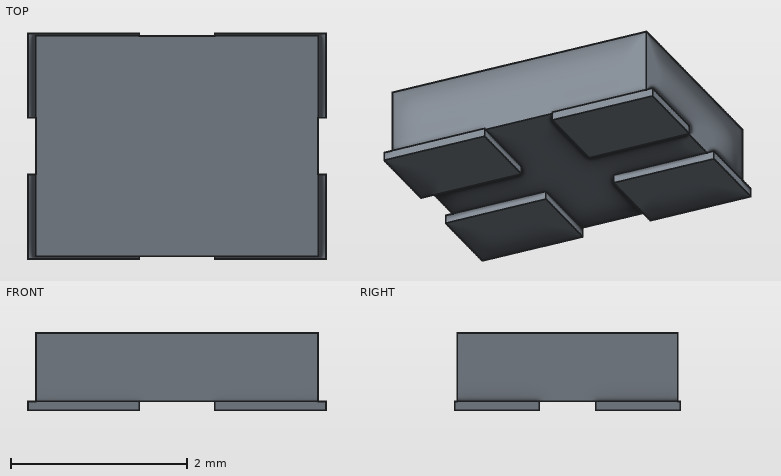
import cadquery as cq

overall_length = 3.38
overall_width = 2.56
overall_height = 0.88

housing_length = 3.2
housing_width = 2.5

pad_length = 1.265
pad_width = 0.96
pad_thickness = 0.1

housing_height = overall_height - pad_thickness
pad_center_x = (overall_length - pad_length) / 2
pad_center_y = (overall_width - pad_width) / 2


def make_block(length, width, height, base_center):
    """Rectangular block whose bottom face is centred on base_center."""
    return cq.Workplane("XY", origin=base_center).box(
        length, width, height, centered=(True, True, False)
    )


def make_housing():
    """Plain block resting on the top faces of the pads."""
    return make_block(housing_length, housing_width, housing_height, (0, 0, pad_thickness))


def make_pad(side_x, side_y):
    """Flat contact pad in the corner given by the signs side_x and side_y."""
    base_center = (side_x * pad_center_x, side_y * pad_center_y, 0)
    return make_block(pad_length, pad_width, pad_thickness, base_center)


housing = make_housing()
pads = [make_pad(side_x, side_y) for side_x in (-1, 1) for side_y in (-1, 1)]

result = cq.Compound.makeCompound([housing.val(), *[pad.val() for pad in pads]])